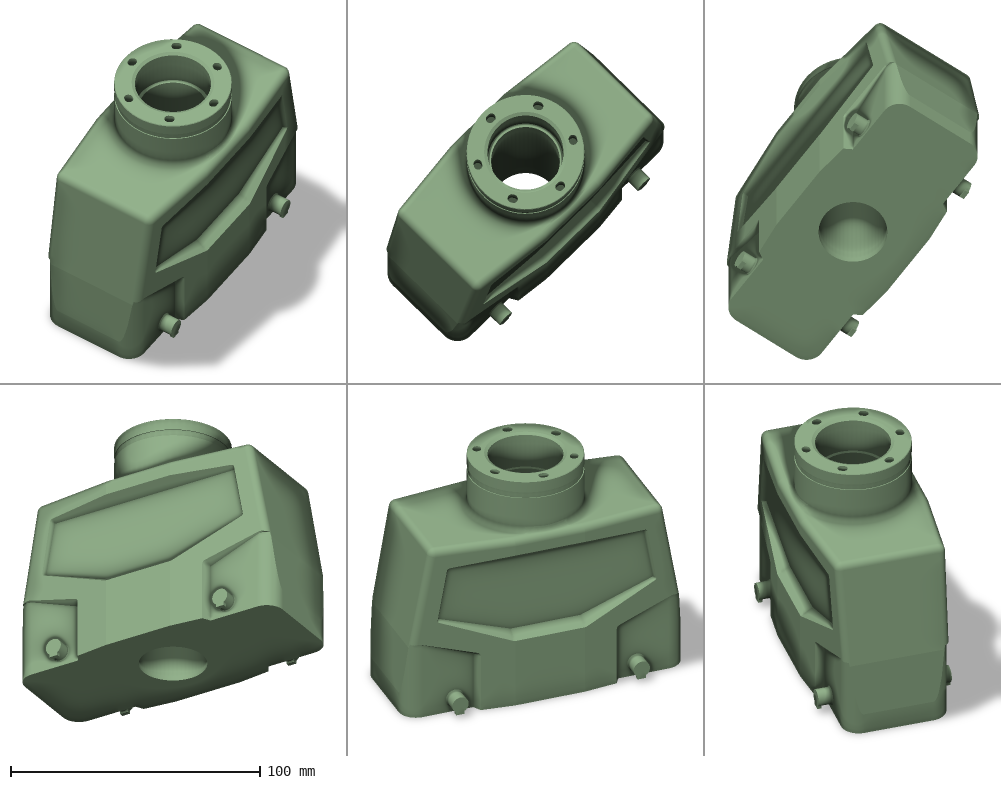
import cadquery as cq


length = 121.0
half_length = length / 2
housing_height = 76.6
middle_half_width = 27.0
middle_half_length = 15.0
end_half_width = 21.9
foot_height = 9.1
shoulder_height = 32.1
shoulder_half_length = 58.3
top_half_length = 50.2
edge_radius = 3.0
edge_tolerance = 0.01

recess_floor = 22.0
recess_draft = 30.0
recess_depth = 7.3
lower_corner_radius = 7.4
pad_inner_y = 31.2
pad_inner_height = 24.9
pad_outer_y = 54.5
pad_outer_height = 33.8
panel_top_y = 42.1
panel_top_height = 66.3
panel_side_y = 46.2
panel_side_height = 43.9
panel_bottom_y = middle_half_length
panel_bottom_height = 32.8
panel_floor = 21.8
panel_corner_radius = 1.2

pin_y = 39.1
pin_height = 5.8
pin_radius = 3.5
overall_width = 56.0
pin_tip = overall_width / 2
pin_root_size = 0.5
pin_root_taper = 45.0
lug_width = 3.6
lug_length = 1.8
lug_bottom = 1.5

total_height = 99.5
neck_radius = 23.6
neck_root_radius = 2.3
neck_chamfer = 0.2
groove_bottom = 91.8
groove_top = 94.5
groove_radius = 23.2
bore_radius = 13.8
seat_radius = 15.2
seat_depth = 15.4
seat_chamfer_width = 1.3
seat_chamfer_depth = 0.7
slot_count = 6
slot_circle_radius = 19.7
slot_length = 4.1
slot_width = 3.4
slot_depth = 6.0


def housing_blank():
    """Tapered block with rounded top and upright edges, before the ends are trimmed."""
    end_lean = (shoulder_half_length - top_half_length) / (housing_height - shoulder_height)
    base_half_length = top_half_length + end_lean * housing_height
    side_taper = (middle_half_width - end_half_width) / (half_length - middle_half_length)
    base_half_width = middle_half_width - side_taper * (base_half_length - middle_half_length)
    plan = (
        cq.Workplane("XY")
        .polyline([
            (middle_half_width, -middle_half_length),
            (middle_half_width, middle_half_length),
            (base_half_width, base_half_length),
            (-base_half_width, base_half_length),
            (-middle_half_width, middle_half_length),
            (-middle_half_width, -middle_half_length),
            (-base_half_width, -base_half_length),
            (base_half_width, -base_half_length),
        ])
        .close()
        .extrude(housing_height)
    )
    leaning_ends = (
        cq.Workplane("YZ")
        .polyline([
            (-base_half_length, 0),
            (base_half_length, 0),
            (top_half_length, housing_height),
            (-top_half_length, housing_height),
        ])
        .close()
        .extrude(2 * middle_half_width, both=True)
    )
    return plan.intersect(leaning_ends)


def rounded_blank():
    """Housing block with its top rim and upright corner edges rounded."""
    blank = housing_blank()
    corner_edges = blank.edges("(not |Y) and (not |X)").filter(
        lambda edge: abs(edge.Center().y) > top_half_length and edge.Center().z > 0
    )
    top_edges = blank.faces(">Z").edges()
    return blank.newObject(corner_edges.vals() + top_edges.vals()).fillet(edge_radius)


def end_trim():
    """Prism that limits the ends below the shoulder: upright foot, then a slight lean."""
    lean = (half_length - shoulder_half_length) / (shoulder_height - foot_height)
    far_half_length = half_length - lean * (total_height - foot_height)
    return (
        cq.Workplane("YZ")
        .polyline([
            (-half_length, 0),
            (half_length, 0),
            (half_length, foot_height),
            (far_half_length, total_height),
            (-far_half_length, total_height),
            (-half_length, foot_height),
        ])
        .close()
        .extrude(2 * middle_half_width, both=True)
    )


def all_corners(tool):
    """The tool and its mirror images in both upright middle planes."""
    pair = tool.union(tool.mirror("XZ"))
    return pair.union(pair.mirror("YZ"))


def corner_recess():
    """Recess at the lower +X +Y corner, open to the end and the bottom."""
    far_y = length
    outline = [
        (pad_inner_y, -recess_depth),
        (far_y, -recess_depth),
        (far_y, pad_outer_height),
        (pad_outer_y, pad_outer_height),
        (pad_inner_y, pad_inner_height),
    ]
    drafted = (
        cq.Workplane("YZ", origin=(recess_floor, 0, 0))
        .polyline(outline)
        .close()
        .extrude(recess_depth, taper=-recess_draft)
    )
    inward = cq.Workplane("YZ").polyline(outline).close().extrude(recess_floor)
    lower_corners = (
        cq.Workplane("XY")
        .rect(2 * recess_floor, length)
        .extrude(housing_height)
        .edges("|Z")
        .fillet(lower_corner_radius)
    )
    return drafted.union(inward).cut(lower_corners)


def side_panel():
    """Sunken panel with drafted walls in the middle of the +X side."""
    panel = (
        cq.Workplane("YZ", origin=(panel_floor, 0, 0))
        .polyline([
            (-panel_bottom_y, panel_bottom_height),
            (panel_bottom_y, panel_bottom_height),
            (panel_side_y, panel_side_height),
            (panel_top_y, panel_top_height),
            (-panel_top_y, panel_top_height),
            (-panel_side_y, panel_side_height),
        ])
        .close()
        .extrude(recess_depth, taper=-recess_draft)
    )
    rounded_corners = panel.edges("(not #X)").filter(
        lambda edge: abs(edge.Center().y) > (panel_bottom_y + panel_top_y) / 2
    )
    return rounded_corners.fillet(panel_corner_radius)


def locking_pin():
    """Pin on the +X side at +Y: flared root, shaft and a small lug under the tip."""
    center = (recess_floor, pin_y, pin_height)
    shaft = cq.Workplane("YZ", origin=center).circle(pin_radius).extrude(pin_tip - recess_floor)
    root = (
        cq.Workplane("YZ", origin=center)
        .circle(pin_radius + pin_root_size)
        .extrude(pin_root_size, taper=pin_root_taper)
    )
    anchor = cq.Workplane("YZ", origin=center).circle(pin_radius).extrude(-pin_radius)
    lug_height = pin_height - lug_bottom
    lug = cq.Workplane("XY").box(lug_length, lug_width, lug_height, centered=(False, True, False))
    lug = lug.translate((pin_tip - lug_length, pin_y, lug_bottom))
    return shaft.union(root).union(anchor).union(lug)


def add_neck(housing):
    """Round neck on top, flared into the housing, with a groove below its rim."""
    neck = (
        cq.Workplane("XY")
        .circle(neck_radius)
        .extrude(total_height)
        .faces(">Z")
        .chamfer(neck_chamfer)
    )
    joined = housing.union(neck)
    root_edge = joined.edges("%CIRCLE").filter(
        lambda edge: abs(edge.Center().z - housing_height) < edge_tolerance
    )
    groove = (
        cq.Workplane("XY", origin=(0, 0, groove_bottom))
        .circle(2 * neck_radius)
        .circle(groove_radius)
        .extrude(groove_top - groove_bottom)
    )
    return root_edge.fillet(neck_root_radius).cut(groove)


def bore():
    """Stepped through bore with a chamfered mouth."""
    seat_bottom = total_height - seat_depth
    return (
        cq.Workplane("XZ")
        .polyline([
            (0, 0),
            (bore_radius, 0),
            (bore_radius, seat_bottom),
            (seat_radius, seat_bottom),
            (seat_radius, total_height - seat_chamfer_depth),
            (seat_radius + seat_chamfer_width, total_height),
            (0, total_height),
        ])
        .close()
        .revolve(360, (0, 0, 0), (0, 1, 0))
    )


def rim_slots():
    """Ring of short blind slots in the rim, each lying along the circumference."""
    slot = (
        cq.Workplane("XY", origin=(slot_circle_radius, 0, total_height - slot_depth))
        .slot2D(slot_length, slot_width, 90)
        .extrude(slot_depth)
    )
    slots = cq.Workplane("XY")
    for index in range(slot_count):
        slots = slots.add(slot.rotate((0, 0, 0), (0, 0, 1), index * 360 / slot_count))
    return slots.combine()


result = rounded_blank().intersect(end_trim())
result = add_neck(result)
result = result.cut(all_corners(corner_recess()))
panel = side_panel()
result = result.cut(panel).cut(panel.mirror("YZ"))
result = result.union(all_corners(locking_pin()))
result = result.cut(bore()).cut(rim_slots())